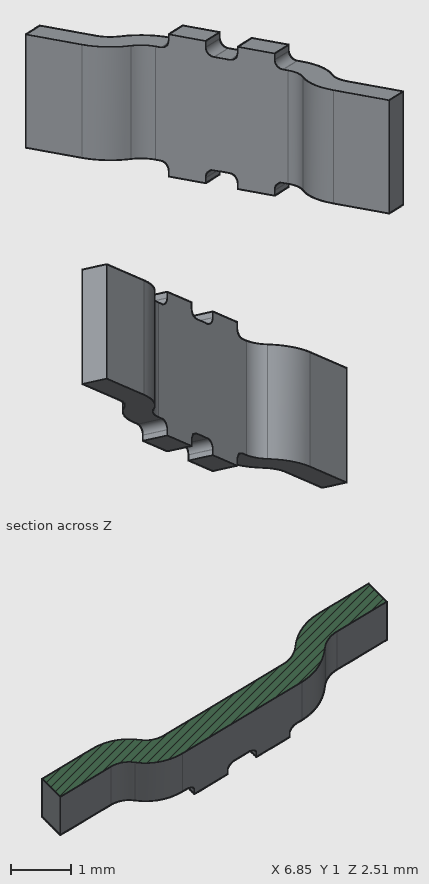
import cadquery as cq
import math

total_length = 6.85
strip_height = 2.0
total_height = 2.51
thickness = 0.5
foot_offset = 0.5
centre_flat_length = 2.5
inner_radius = 0.5
outer_radius = inner_radius + thickness

tab_width = 0.7
tab_pitch = 1.3
tab_root_fillet = 0.15

bend_radius_sum = inner_radius + outer_radius
bend_angle = math.acos(1 - foot_offset / bend_radius_sum)
bend_length = bend_radius_sum * math.sin(bend_angle)

half_length = total_length / 2
flat_end = centre_flat_length / 2
foot_start = flat_end + bend_length
foot_front = -(thickness + foot_offset) / 2
foot_back = foot_front + thickness
flat_front = foot_front + foot_offset
flat_back = flat_front + thickness


def flat_bend_point(radius, angle):
    """Point on the bend beside the centre flat, at an angle turned from the flat."""
    centre_y = flat_front - inner_radius
    return (flat_end + radius * math.sin(angle), centre_y + radius * math.cos(angle))


def foot_bend_point(radius, angle):
    """Point on the bend beside the foot, at an angle turned from the foot."""
    centre_y = foot_back + inner_radius
    return (foot_start - radius * math.sin(angle), centre_y - radius * math.cos(angle))


def make_strip():
    """Outline of the +X half, extruded along Z and mirrored."""
    half_angle = bend_angle / 2
    half_strip = (
        cq.Workplane("XY")
        .moveTo(0, flat_front)
        .lineTo(flat_end, flat_front)
        .threePointArc(flat_bend_point(inner_radius, half_angle), flat_bend_point(inner_radius, bend_angle))
        .threePointArc(foot_bend_point(outer_radius, half_angle), (foot_start, foot_front))
        .lineTo(half_length, foot_front)
        .lineTo(half_length, foot_back)
        .lineTo(foot_start, foot_back)
        .threePointArc(foot_bend_point(inner_radius, half_angle), foot_bend_point(inner_radius, bend_angle))
        .threePointArc(flat_bend_point(outer_radius, half_angle), (flat_end, flat_back))
        .lineTo(0, flat_back)
        .close()
        .extrude(strip_height / 2, both=True)
    )
    return half_strip.union(half_strip.mirror("YZ")).clean()


def make_tab_pair(centre_x):
    """Upright bar through the flat whose two ends are the upper and lower tabs."""
    centre_y = (flat_front + flat_back) / 2
    return cq.Workplane("XY").box(tab_width, thickness, total_height).translate((centre_x, centre_y, 0))


def tab_root_edges(part):
    """Edges along Y where the tab sides meet the strip edges."""
    root_points = [
        (tab_side * tab_pitch / 2 + edge_side * tab_width / 2, strip_side * strip_height / 2)
        for tab_side in (-1, 1)
        for edge_side in (-1, 1)
        for strip_side in (-1, 1)
    ]
    tolerance = 0.001
    return part.edges("|Y").filter(
        lambda edge: any(
            math.dist((edge.Center().x, edge.Center().z), point) < tolerance for point in root_points
        )
    )


body = make_strip()
for side in (-1, 1):
    body = body.union(make_tab_pair(side * tab_pitch / 2))

result = tab_root_edges(body.clean()).fillet(tab_root_fillet)